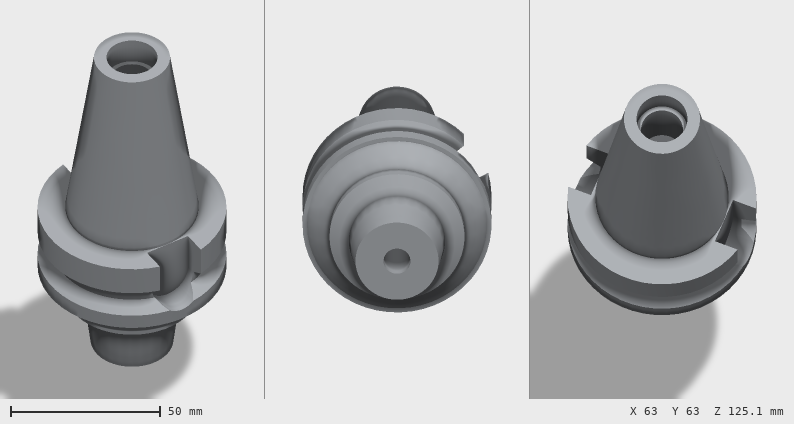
import cadquery as cq
import math


gauge_diameter = 44.45
taper_length = 65.4
taper_ratio = 7 / 24
taper_small_diameter = gauge_diameter - taper_ratio * taper_length

flange_diameter = 63.0
flange_top_z = -1.0
flange_bottom_z = -27.0
groove_center_z = -16.6
groove_floor_diameter = 53.2
groove_floor_width = 4.3
groove_wall_angle = 30.0

flange_underside_diameter = 60.0
collar_diameter = 45.0
collar_top_z = -33.4
collar_bottom_z = -37.9

nose_top_diameter = 32.1
nose_tip_diameter = 27.7
nose_top_z = -41.4
nose_tip_z = -59.7

slot_width = 16.1
slot_floor_x = 22.3
slot_bottom_z = -23.0

pilot_bore_diameter = 17.0
pilot_bore_depth = 9.2
thread_bore_diameter = 14.0
thread_bore_depth = 30.0
through_bore_diameter = 9.0


def make_body():
    """Revolve the outer profile about the Z axis."""
    flange_radius = flange_diameter / 2
    groove_radius = groove_floor_diameter / 2
    wall_height = (flange_radius - groove_radius) * math.tan(math.radians(groove_wall_angle))
    floor_top_z = groove_center_z + groove_floor_width / 2
    floor_bottom_z = groove_center_z - groove_floor_width / 2
    outline = [
        (0, taper_length),
        (taper_small_diameter / 2, taper_length),
        (gauge_diameter / 2, 0),
        (gauge_diameter / 2, flange_top_z),
        (flange_radius, flange_top_z),
        (flange_radius, floor_top_z + wall_height),
        (groove_radius, floor_top_z),
        (groove_radius, floor_bottom_z),
        (flange_radius, floor_bottom_z - wall_height),
        (flange_radius, flange_bottom_z),
        (flange_underside_diameter / 2, flange_bottom_z),
        (collar_diameter / 2, collar_top_z),
        (collar_diameter / 2, collar_bottom_z),
        (nose_top_diameter / 2, nose_top_z),
        (nose_tip_diameter / 2, nose_tip_z),
        (0, nose_tip_z),
    ]
    return cq.Workplane("YZ").polyline(outline).close().revolve(360, (0, 0), (0, 1))


def make_drive_slot(side):
    """Return the cutter for one drive slot; side is +1 for +X and -1 for -X."""
    slot_radius = slot_width / 2
    arc_center_z = slot_bottom_z + slot_radius
    return (
        cq.Workplane("YZ")
        .workplane(offset=side * slot_floor_x)
        .moveTo(-slot_radius, flange_top_z)
        .lineTo(-slot_radius, arc_center_z)
        .threePointArc((0, slot_bottom_z), (slot_radius, arc_center_z))
        .lineTo(slot_radius, flange_top_z)
        .close()
        .extrude(side * flange_diameter / 2)
    )


def make_bore(diameter, depth):
    """Return a round cutter reaching down from the small end of the taper."""
    return cq.Workplane("XY").workplane(offset=taper_length).circle(diameter / 2).extrude(-depth)


result = make_body()
for slot_side in (1, -1):
    result = result.cut(make_drive_slot(slot_side))

bores = [
    (pilot_bore_diameter, pilot_bore_depth),
    (thread_bore_diameter, thread_bore_depth),
    (through_bore_diameter, taper_length - nose_tip_z),
]
for bore_diameter, bore_depth in bores:
    result = result.cut(make_bore(bore_diameter, bore_depth))